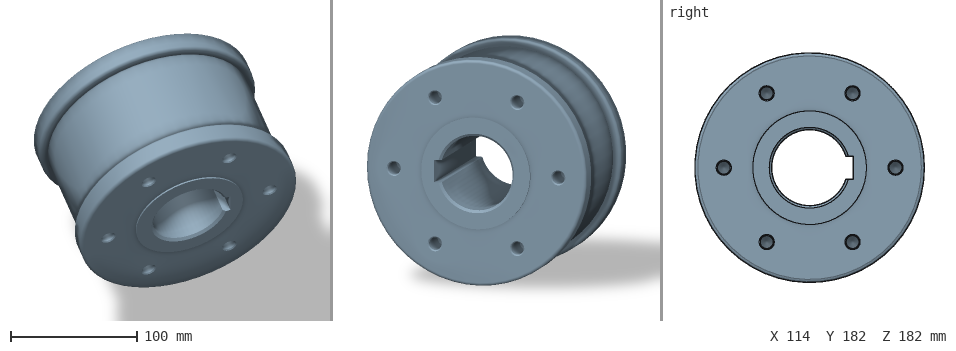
import cadquery as cq
import math

overall_length = 114.0
boss_radius = 45.0
boss_height = 1.25

flange_radius = 91.0
flange_width = 16.75
flange_fillet = 2.5
flange_outer_x = overall_length / 2 - boss_height
flange_inner_x = flange_outer_x - flange_width

barrel_radius = 85.0
barrel_fillet = 2.0

bore_radius = 30.0
bore_chamfer = 2.0
keyway_width = 18.0
keyway_floor = 34.4

hole_count = 6
hole_circle_radius = 68.0
hole_radius = 5.1
hole_mouth_radius = 6.0
hole_depth = 24.0
drill_point_angle = 118.0


def x_cylinder(radius, length):
    """Cylinder centred on the origin with its axis along X."""
    return cq.Workplane("YZ", origin=(-length / 2, 0, 0)).circle(radius).extrude(length)


def make_barrel():
    """Barrel with its rims rounded down towards the flanges."""
    return x_cylinder(barrel_radius, 2 * flange_inner_x).edges("%CIRCLE").fillet(barrel_fillet)


def make_flange(start_x):
    """Round-edged flange disc occupying flange_width from start_x towards +X."""
    disc = cq.Workplane("YZ", origin=(start_x, 0, 0)).circle(flange_radius).extrude(flange_width)
    return disc.edges("%CIRCLE").fillet(flange_fillet)


def make_bore():
    """Bore profile with a chamfered mouth at each end, revolved about X."""
    end_x = overall_length / 2
    mouth_radius = bore_radius + bore_chamfer
    return (
        cq.Workplane("XY")
        .moveTo(-end_x, 0)
        .lineTo(-end_x, mouth_radius)
        .lineTo(-end_x + bore_chamfer, bore_radius)
        .lineTo(end_x - bore_chamfer, bore_radius)
        .lineTo(end_x, mouth_radius)
        .lineTo(end_x, 0)
        .close()
        .revolve(360, (0, 0, 0), (1, 0, 0))
    )


def make_keyway():
    """Rectangular slot along the whole bore, from the axis out to the floor."""
    return cq.Workplane("XY").box(
        overall_length, keyway_floor, keyway_width, centered=(True, False, True)
    )


def make_end_hole():
    """Blind hole in the -X end face with a 45 degree mouth and a conical bottom."""
    mouth_depth = hole_mouth_radius - hole_radius
    tip_length = hole_radius * math.tan(math.radians(90 - drill_point_angle / 2))
    return (
        cq.Workplane("XY")
        .moveTo(-flange_outer_x, 0)
        .lineTo(-flange_outer_x, hole_mouth_radius)
        .lineTo(-flange_outer_x + mouth_depth, hole_radius)
        .lineTo(-flange_outer_x + hole_depth, hole_radius)
        .lineTo(-flange_outer_x + hole_depth + tip_length, 0)
        .close()
        .revolve(360, (0, 0, 0), (1, 0, 0))
        .translate((0, hole_circle_radius, 0))
    )


drum = x_cylinder(boss_radius, overall_length).union(make_barrel())
for start_x in (-flange_outer_x, flange_inner_x):
    drum = drum.union(make_flange(start_x))

drum = drum.cut(make_bore()).cut(make_keyway())

end_hole = make_end_hole()
for index in range(hole_count):
    hole = end_hole.rotate((0, 0, 0), (1, 0, 0), index * 360 / hole_count)
    drum = drum.cut(hole).cut(hole.mirror("YZ"))

result = drum